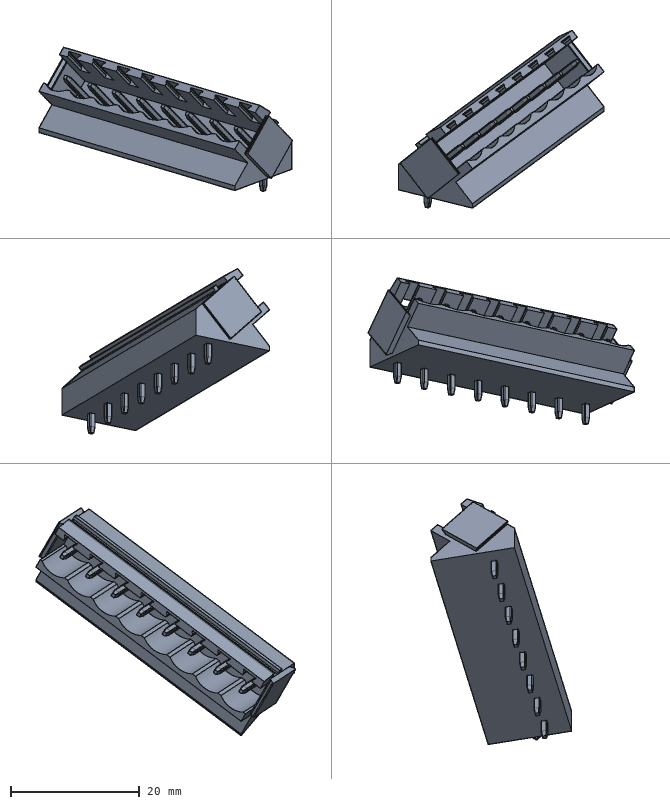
import cadquery as cq
import math

INSERTION = (0, -1, 1)
ACROSS = (0, 1, 1)
DOWN_ACROSS = (0, -1, -1)

overall_length = 42.65
pole_count = 8
pitch = 5.07
housing_length = 40.75
end_plate_thickness = (overall_length - housing_length) / 2

base_back = 3.75
base_front = -9.55
bend_height = 2.6

trough_floor = 1.35
rail_tip = 9.72
trough_back = 3.0
trough_front = -2.25
lower_rail_face = -3.8
lower_rail_foot = 5.45
back_face = 3.92

upper_rail_foot = 6.6
upper_rail_taper_start = 6.95
upper_rail_face = 4.85
upper_rail_tip_face = 4.35

ridge_start = 3.7
ridge_width = 0.75
ridge_height = 0.72
ridge_foot = 0.15

slot_floor = 5.45
slot_inner_width = 2.4
slot_neck_width = 1.88
slot_lip = 0.15
slot_taper = 0.35

scallop_width = 4.45
scallop_depth = 0.72

plate_low = -0.2
plate_high = 7.6
plate_front = -3.1
plate_back = 3.9
plate_rim = 0.2
plate_neck = 0.2
plate_flare = 0.4

pin_width = 1.0
pin_chamfer = 0.15
pin_tip_width = 0.6
pin_tip_length = 0.95
contact_end = 8.85
solder_end = 3.1

pole_positions = [(i - (pole_count - 1) / 2) * pitch for i in range(pole_count)]


def slanted(y, z):
    """Turn a point of the YZ plane into slanted (u, v) coordinates."""
    rise = z - bend_height
    return ((rise - y) / math.sqrt(2), (rise + y) / math.sqrt(2))


def upright(u, v):
    """Turn slanted (u, v) coordinates into a point (x, y, z) of the plane X = 0."""
    return (0, (v - u) / math.sqrt(2), bend_height + (u + v) / math.sqrt(2))


def side_workplane():
    """Workplane across the length, with local axes u and v."""
    return cq.Workplane(cq.Plane(origin=upright(0, 0), xDir=INSERTION, normal=(-1, 0, 0)))


def cross_workplane(u, x=0):
    """Workplane facing the insertion direction at depth u, with local axes X and v."""
    origin = cq.Vector(x, 0, 0) + cq.Vector(*upright(u, 0))
    return cq.Workplane(cq.Plane(origin=origin, xDir=(1, 0, 0), normal=INSERTION))


def housing_profile():
    """Base, trough and both rails as one prism along X."""
    back_top = back_face * math.sqrt(2) + bend_height - base_back
    nose_height = lower_rail_foot * math.sqrt(2) + bend_height + base_front
    outline = [
        slanted(base_back, 0),
        slanted(base_front, 0),
        slanted(base_front, nose_height),
        (lower_rail_foot, lower_rail_face),
        (rail_tip, lower_rail_face),
        (rail_tip, trough_front),
        (trough_floor, trough_front),
        (trough_floor, trough_back),
        (rail_tip, trough_back),
        (rail_tip, upper_rail_tip_face),
        (upper_rail_taper_start, upper_rail_face),
        (upper_rail_foot, upper_rail_face),
        (upper_rail_foot, back_face),
        slanted(base_back, back_top),
    ]
    return side_workplane().polyline(outline).close().extrude(housing_length / 2, both=True)


def back_ridge():
    """Rectangular ridge along the back face, with a chamfered foot on both sides."""
    ridge_end = ridge_start + ridge_width
    foot_top = back_face + ridge_foot
    ridge_top = back_face + ridge_height
    outline = [
        (ridge_start - ridge_foot, back_face),
        (ridge_start, foot_top),
        (ridge_start, ridge_top),
        (ridge_end, ridge_top),
        (ridge_end, foot_top),
        (ridge_end + ridge_foot, back_face),
    ]
    return side_workplane().polyline(outline).close().extrude(housing_length / 2, both=True)


def end_plate(side):
    """Plate on one end whose two narrow edges flare outwards; side is -1 or 1."""
    inner = housing_length / 2
    flare_start = inner + plate_neck
    flare_end = overall_length / 2 - plate_rim
    neck_low = plate_low + plate_flare
    neck_high = plate_high - plate_flare
    half_outline = [
        (inner, neck_low),
        (flare_start, neck_low),
        (flare_end, plate_low),
        (inner + end_plate_thickness, plate_low),
        (inner + end_plate_thickness, plate_high),
        (flare_end, plate_high),
        (flare_start, neck_high),
        (inner, neck_high),
    ]
    plane = cq.Plane(origin=upright(0, plate_back), xDir=(1, 0, 0), normal=DOWN_ACROSS)
    outline = [(side * x, u) for x, u in half_outline]
    return cq.Workplane(plane).polyline(outline).close().extrude(plate_back - plate_front)


def coding_slot(x):
    """Undercut slot in the upper rail, open to the trough and to the rail tip."""
    lip_end = back_face - slot_lip
    taper_end = lip_end - slot_taper
    half_inner = slot_inner_width / 2
    half_neck = slot_neck_width / 2
    outline = [
        (-half_inner, back_face),
        (-half_inner, lip_end),
        (-half_neck, taper_end),
        (-half_neck, trough_back),
        (half_neck, trough_back),
        (half_neck, taper_end),
        (half_inner, lip_end),
        (half_inner, back_face),
    ]
    return cross_workplane(slot_floor, x).polyline(outline).close().extrude(rail_tip - slot_floor)


def scallop(x):
    """Shallow round hollow in the inner side of the lower rail."""
    half_width = scallop_width / 2
    return (
        cross_workplane(trough_floor, x)
        .moveTo(-half_width, trough_front)
        .threePointArc((0, trough_front - scallop_depth), (half_width, trough_front))
        .close()
        .extrude(rail_tip - trough_floor)
    )


def pin_section(workplane):
    """Square pin outline with chamfered corners on the given workplane."""
    half = pin_width / 2
    flat = half - pin_chamfer
    outline = [
        (-flat, -half),
        (flat, -half),
        (half, -flat),
        (half, flat),
        (flat, half),
        (-flat, half),
        (-half, flat),
        (-half, -flat),
    ]
    return workplane.polyline(outline).close()


def contact_pin(x):
    """Bent pin with a vertical solder leg, a slanted contact and two tapered tips."""
    tip_angle = math.degrees(math.atan((pin_width - pin_tip_width) / 2 / pin_tip_length))
    contact_shoulder = contact_end - pin_tip_length
    solder_shoulder = pin_tip_length - solder_end
    path = cq.Workplane("YZ", origin=(x, 0, 0)).polyline(
        [(0, solder_shoulder), (0, bend_height), upright(contact_shoulder, 0)[1:]]
    )
    leg_start = cq.Workplane("XY", origin=(x, 0, solder_shoulder))
    shaft = pin_section(leg_start).sweep(path, transition="right")
    contact_tip = pin_section(cross_workplane(contact_shoulder, x)).extrude(pin_tip_length, taper=tip_angle)
    solder_tip = pin_section(leg_start).extrude(-pin_tip_length, taper=tip_angle)
    return shaft.union(contact_tip).union(solder_tip)


pins = [contact_pin(x) for x in pole_positions]

housing = housing_profile().union(back_ridge())
for side in (-1, 1):
    housing = housing.union(end_plate(side))
for x, pin in zip(pole_positions, pins):
    housing = housing.cut(coding_slot(x)).cut(scallop(x)).cut(pin)

result = cq.Compound.makeCompound([housing.val(), *[pin.val() for pin in pins]])